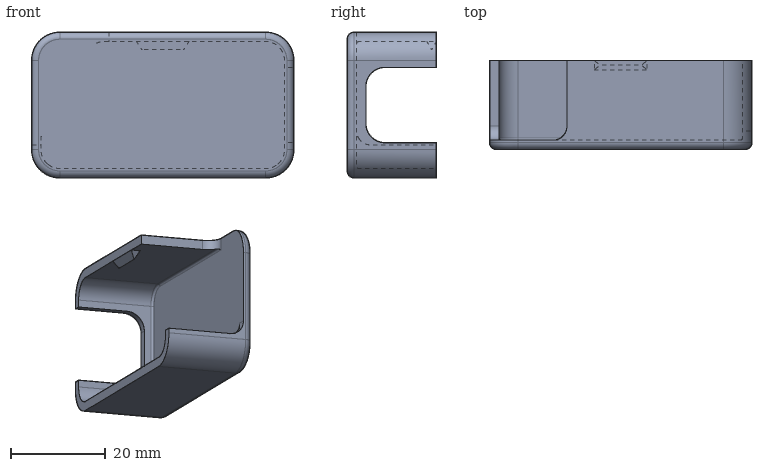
import cadquery as cq
import math

length = 55.35
depth = 18.8
height = 30.8
wall = 2.0
corner_radius = 6.0
front_edge_radius = 1.5
floor_edge_radius = 0.5

notch_length = 16.35
notch_bottom = 7.0
notch_radius = 3.0

window_height = 15.85
window_start = 2 * wall
window_radius = 4.0

ridge_side = 2.0
ridge_length = 11.05
ridge_end_angle = 33.0

overlap = 0.55


def block(x_range, y_range, z_range):
    """Box spanning the given ranges."""
    (x0, x1), (y0, y1), (z0, z1) = x_range, y_range, z_range
    return cq.Workplane("XY").box(x1 - x0, y1 - y0, z1 - z0, centered=False).translate((x0, y0, z0))


def make_shell():
    outer = block((0, length), (0, depth), (0, height))
    outer = outer.edges("|Y").fillet(corner_radius)
    outer = outer.faces("<Y").edges().fillet(front_edge_radius)
    cavity = block((wall, length - wall), (wall, depth + overlap), (wall, height - wall))
    cavity = cavity.edges("|Y").fillet(corner_radius - wall)
    cavity = cavity.faces("<Y").edges().fillet(floor_edge_radius)
    return outer.cut(cavity)


def make_notch():
    notch = block(
        (-overlap, notch_length),
        (wall, depth + overlap),
        (notch_bottom, height + overlap),
    )
    notch = notch.edges("(|Z and >X and <Y) or (|X and <Y and <Z)")
    return notch.fillet(notch_radius)


def make_window():
    bottom = (height - window_height) / 2
    window = block(
        (length - wall - overlap, length + overlap),
        (window_start, depth + overlap),
        (bottom, bottom + window_height),
    )
    return window.edges("|X and <Y").fillet(window_radius)


def make_ridge():
    ceiling = height - wall
    drop = ridge_side * math.sqrt(3) / 2
    inset = drop * math.tan(math.radians(ridge_end_angle))
    start = (length - ridge_length) / 2
    end = start + ridge_length
    section = (
        cq.Workplane("YZ", origin=(start, 0, 0))
        .polyline([
            (depth, ceiling),
            (depth - ridge_side, ceiling),
            (depth - ridge_side / 2, ceiling - drop),
        ])
        .close()
        .extrude(ridge_length)
    )
    profile = (
        cq.Workplane("XZ", origin=(0, depth, 0))
        .polyline([
            (start, ceiling),
            (end, ceiling),
            (end - inset, ceiling - drop),
            (start + inset, ceiling - drop),
        ])
        .close()
        .extrude(ridge_side)
    )
    return section.intersect(profile)


result = make_shell().cut(make_notch()).cut(make_window()).union(make_ridge())